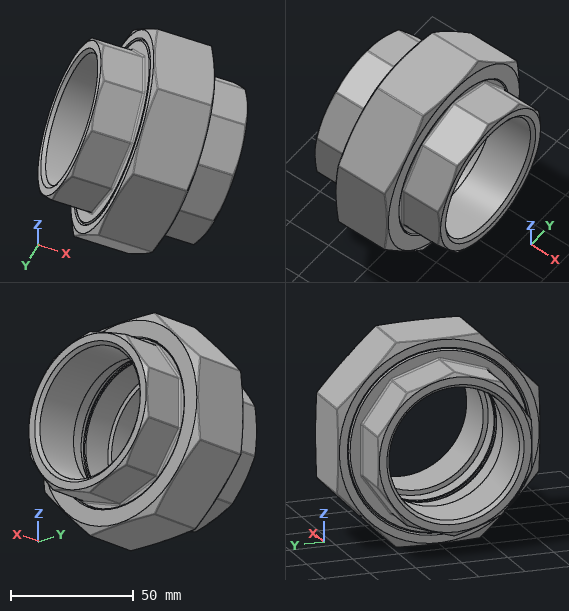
import cadquery as cq
import math


overall_length = 65.0
half_length = overall_length / 2

nut_across_flats = 88.0
nut_width = 27.0
nut_face_x = nut_width / 2
nut_sides = 8
nut_edge_radius = 0.7
nut_rim_radius = 0.4
nut_face_diameter = 86.9
nut_face_chamfer_angle = 20.0
nut_mouth_diameter = 80.0
nut_lip_diameter = 73.0
nut_lip_thickness = 4.4

thread_diameter = 78.8
thread_tip_diameter = 77.5

wrench_across_flats = 67.0
wrench_sides = 10
wrench_corner_diameter = wrench_across_flats / math.cos(math.pi / wrench_sides)
wrench_edge_radius = 0.9
wrench_rim_radius = 0.4
wrench_face_diameter = 66.3
wrench_face_chamfer_angle = 30.0
wrench_root_radius = 0.7

bore_diameter = 56.7
bore_mouth_diameter = 59.7
bore_mouth_depth = 1.5
bore_depth = 21.3
relief_diameter = 61.0
relief_chamfer = 0.35

gasket_inner_diameter = 63.0
gasket_thickness = 2.0
gasket_start_x = 2.1
gasket_end_x = gasket_start_x + gasket_thickness

collar_diameter = 77.5
neck_diameter = 72.0
neck_inset = 0.35
neck_end_x = nut_face_x - neck_inset
collar_end_x = nut_face_x - nut_lip_thickness

selection_margin = 0.01


def cylinder(diameter, start_x, end_x):
    """Solid cylinder on the X axis."""
    return cq.Workplane("YZ", origin=(start_x, 0, 0)).circle(diameter / 2).extrude(end_x - start_x)


def cone(start_diameter, end_diameter, start_x, end_x):
    """Solid cone frustum on the X axis."""
    profile = [
        (start_x, 0),
        (start_x, start_diameter / 2),
        (end_x, end_diameter / 2),
        (end_x, 0),
    ]
    return cq.Workplane("XY").polyline(profile).close().revolve(360, (0, 0, 0), (1, 0, 0))


def prism(sides, across_flats, start_x, end_x):
    """Regular prism along X with two flats facing +Y and -Y."""
    flat_angle = 180 / sides
    corner_diameter = across_flats / math.cos(math.radians(flat_angle))
    return (
        cq.Workplane("YZ", origin=(start_x, 0, 0))
        .transformed(rotate=(0, 0, flat_angle))
        .polygon(sides, corner_diameter)
        .extrude(end_x - start_x)
    )


def chamfer_envelope(face_diameter, angle, face_x, inner_x):
    """Cone that starts at face_diameter on an end face and widens toward inner_x."""
    growth = 2 * abs(inner_x - face_x) / math.tan(math.radians(angle))
    return cone(face_diameter, face_diameter + growth, face_x, inner_x)


def round_chamfer_rims(body, radius):
    """Round the curved edges where chamfer cones cut the flats, and leave flat face rims sharp."""
    rims = [edge for edge in body.edges().vals() if edge.geomType() not in ("LINE", "CIRCLE")]
    return body.newObject(rims).fillet(radius)


def make_wrench_section(root_diameter, root_x, clamp_x):
    """Wrench faces from the -X end to root_x, then a round root that reaches clamp_x."""
    wrench = prism(wrench_sides, wrench_across_flats, -half_length, root_x)
    wrench = wrench.edges("|X").fillet(wrench_edge_radius)
    envelope = chamfer_envelope(wrench_face_diameter, wrench_face_chamfer_angle, -half_length, root_x)
    wrench = round_chamfer_rims(wrench.intersect(envelope), wrench_rim_radius)
    body = wrench.union(cylinder(root_diameter, root_x, clamp_x))

    reach = wrench_corner_diameter / 2
    root_edges = cq.selectors.BoxSelector(
        (root_x - selection_margin, -reach, -reach),
        (root_x + selection_margin, reach, reach),
        boundingbox=True,
    )
    return body.edges(root_edges).fillet(wrench_root_radius)


def make_bore(clamp_x):
    """Space inside an end that opens toward -X and is clamped at clamp_x."""
    relief_start_x = -half_length + bore_depth
    mouth_end_x = -half_length + bore_mouth_depth
    bore = cylinder(bore_diameter, -half_length, clamp_x)
    mouth = cone(bore_mouth_diameter, bore_diameter, -half_length, mouth_end_x)
    relief = cylinder(relief_diameter, relief_start_x, clamp_x)
    relief_edge_diameter = relief_diameter + 2 * relief_chamfer
    relief_edge = cone(relief_diameter, relief_edge_diameter, clamp_x - relief_chamfer, clamp_x)
    return bore.union(mouth).union(relief).union(relief_edge)


def make_screwed_end():
    """End on the -X side, whose round root screws into the nut."""
    body = make_wrench_section(thread_diameter, -nut_face_x, gasket_start_x)
    tip = (thread_diameter - thread_tip_diameter) / 2
    tip_envelope = cone(thread_tip_diameter, thread_diameter, -nut_face_x, -nut_face_x + tip)
    tip_sleeve = cylinder(thread_diameter, -nut_face_x, -nut_face_x + tip).cut(tip_envelope)
    return body.cut(tip_sleeve).cut(make_bore(gasket_start_x))


def make_collar_end():
    """End on the +X side, whose collar the nut pulls against the gasket."""
    body = make_wrench_section(neck_diameter, -neck_end_x, -gasket_end_x)
    collar = cylinder(collar_diameter, -collar_end_x, -gasket_end_x)
    body = body.union(collar).cut(make_bore(-gasket_end_x))
    return body.mirror("YZ")


def make_nut():
    """Octagonal nut with a screwed bore toward -X and an inner lip toward +X."""
    body = prism(nut_sides, nut_across_flats, -nut_face_x, nut_face_x)
    body = body.edges("|X").fillet(nut_edge_radius)
    envelope = chamfer_envelope(nut_face_diameter, nut_face_chamfer_angle, -nut_face_x, nut_face_x)
    body = body.intersect(envelope).intersect(envelope.mirror("YZ"))
    body = round_chamfer_rims(body, nut_rim_radius)

    mouth = (nut_mouth_diameter - thread_diameter) / 2
    body = body.cut(cone(nut_mouth_diameter, thread_diameter, -nut_face_x, -nut_face_x + mouth))
    body = body.cut(cylinder(thread_diameter, -nut_face_x, gasket_start_x))
    body = body.cut(cylinder(collar_diameter, gasket_start_x, collar_end_x))
    return body.cut(cylinder(nut_lip_diameter, collar_end_x, nut_face_x))


def make_gasket():
    """Flat ring between the two ends."""
    ring = cylinder(collar_diameter, gasket_start_x, gasket_end_x)
    return ring.cut(cylinder(gasket_inner_diameter, gasket_start_x, gasket_end_x))


screwed_end = make_screwed_end()
collar_end = make_collar_end()
nut = make_nut()
gasket = make_gasket()

result = cq.Compound.makeCompound([screwed_end.val(), collar_end.val(), nut.val(), gasket.val()])